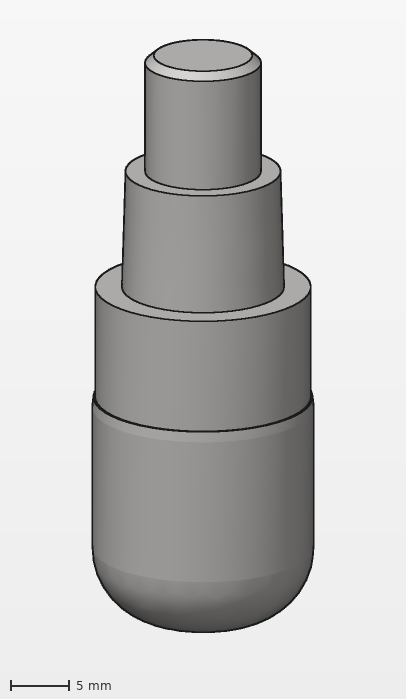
import cadquery as cq

TOTAL_HEIGHT = 51.0
PIN_LENGTH = 10.5
TAPER_LENGTH = 10.5
COLLAR_LENGTH = 10.0
CAP_HEIGHT = TOTAL_HEIGHT - PIN_LENGTH - TAPER_LENGTH - COLLAR_LENGTH

PIN_DIAMETER = 10.0
PIN_CHAMFER_WIDTH = 0.75
PIN_CHAMFER_HEIGHT = 0.65
TAPER_TOP_DIAMETER = 13.35
TAPER_BASE_DIAMETER = 13.95
COLLAR_DIAMETER = 18.55

CAP_DIAMETER = 19.05
RIM_BEVEL_WIDTH = 0.1
RIM_BEVEL_HEIGHT = 0.9
CAP_END_RADIUS = 6.4


def make_cap():
    """Round cap with a bevelled upper rim and a rounded lower end."""
    cap = cq.Workplane("XY").circle(CAP_DIAMETER / 2).extrude(CAP_HEIGHT)
    cap = cap.faces("<Z").edges().fillet(CAP_END_RADIUS)
    rim = cap.faces(">Z").edges()
    return rim.chamfer(RIM_BEVEL_HEIGHT, RIM_BEVEL_WIDTH)


def make_stud():
    """Turned stud seated on the cap: collar, tapered shoulder and chamfered pin."""
    collar_top = CAP_HEIGHT + COLLAR_LENGTH
    taper_top = collar_top + TAPER_LENGTH
    pin_radius = PIN_DIAMETER / 2
    half_section = (
        cq.Workplane("XZ")
        .moveTo(0, CAP_HEIGHT)
        .lineTo(COLLAR_DIAMETER / 2, CAP_HEIGHT)
        .lineTo(COLLAR_DIAMETER / 2, collar_top)
        .lineTo(TAPER_BASE_DIAMETER / 2, collar_top)
        .lineTo(TAPER_TOP_DIAMETER / 2, taper_top)
        .lineTo(pin_radius, taper_top)
        .lineTo(pin_radius, TOTAL_HEIGHT - PIN_CHAMFER_HEIGHT)
        .lineTo(pin_radius - PIN_CHAMFER_WIDTH, TOTAL_HEIGHT)
        .lineTo(0, TOTAL_HEIGHT)
        .close()
    )
    return half_section.revolve(360, (0, 0, 0), (0, 1, 0))


def centre_height(body):
    """Place the whole assembly's mid-height at the origin."""
    return body.translate((0, 0, -TOTAL_HEIGHT / 2))


cap = centre_height(make_cap())
stud = centre_height(make_stud())

result = cq.Compound.makeCompound([cap.val(), stud.val()])